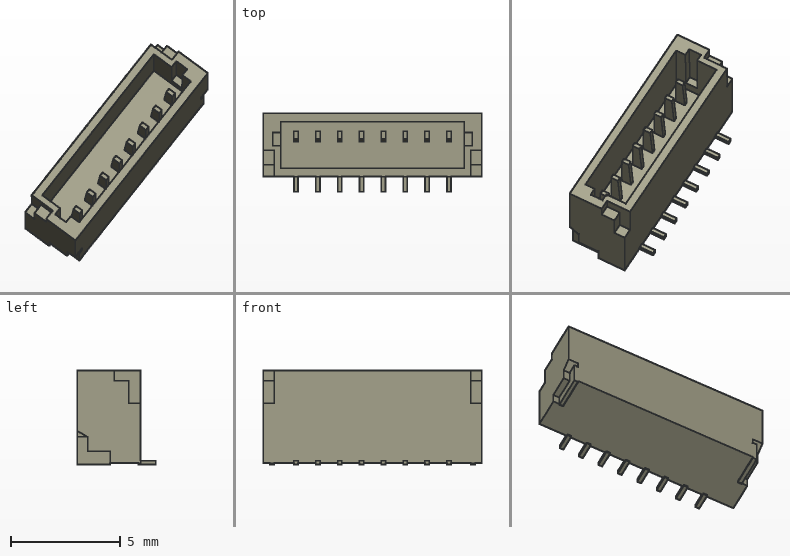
import cadquery as cq

LENGTH = 10.0
DEPTH = 2.9
TOP = 4.32
STANDOFF = 0.07

END_WALL = 0.79
SIDE_WALL = 0.39
CAVITY_FLOOR = 1.5

SLOT_REACH = 0.36
SLOT_FRONT = 1.41
SLOT_BACK = 2.03
SLOT_DRAFT = 0.03
SLOT_FLOOR = 2.0

CORNER_CUT = 0.5
NOTCH_LONG = 1.21
NOTCH_SHORT = 0.54
NOTCH_STEP_DROP = 0.48
NOTCH_DROP = 1.51
RECESS_LONG = 1.51
RECESS_SHORT = 0.48
RECESS_STEP = 0.61
RECESS_TOP = 1.27
RECESS_SLOPE_RISE = 0.28

TAB_INSET = 0.3

PIN_COUNT = 8
PITCH = 1.0
PIN_WIDTH = 0.2
PIN_FRONT = 1.6
PIN_BACK = 2.08
PIN_TOP = 3.08
PIN_TAPER = 0.12
LEAD_LENGTH = 0.7
LEAD_HEIGHT = 0.19
LEAD_EMBED = 0.1


def box(x_range, y_range, z_range):
    """Box spanning the given (low, high) ranges."""
    (x0, x1), (y0, y1), (z0, z1) = x_range, y_range, z_range
    return cq.Workplane("XY").box(x1 - x0, y1 - y0, z1 - z0, centered=False).translate((x0, y0, z0))


def plate(profile, x_start, thickness):
    """Closed (Y, Z) profile extruded along +X from x_start."""
    return cq.Workplane("YZ").polyline(profile).close().extrude(thickness).translate((x_start, 0, 0))


def both_ends(left):
    """The left-end shape together with its mirror image at the right end."""
    return left.add(left.mirror("YZ"))


def make_shell():
    """Block with the open cavity and its two keying slots."""
    half = LENGTH / 2
    cavity_half = half - END_WALL
    slot_half = cavity_half + SLOT_REACH
    block = box((-half, half), (0, DEPTH), (STANDOFF, TOP))
    cavity = box((-cavity_half, cavity_half), (SIDE_WALL, DEPTH - SIDE_WALL), (CAVITY_FLOOR, TOP))
    slot_profile = [
        (SLOT_FRONT, TOP),
        (SLOT_BACK, TOP),
        (SLOT_BACK - SLOT_DRAFT, SLOT_FLOOR),
        (SLOT_FRONT, SLOT_FLOOR),
    ]
    slots = plate(slot_profile, -slot_half, 2 * slot_half)
    return block.cut(cavity).cut(slots)


def make_notch():
    """Two-step cut at the front upper corner of the left end."""
    profile = [
        (0, TOP),
        (NOTCH_LONG, TOP),
        (NOTCH_LONG, TOP - NOTCH_STEP_DROP),
        (NOTCH_SHORT, TOP - NOTCH_STEP_DROP),
        (NOTCH_SHORT, TOP - NOTCH_DROP),
        (0, TOP - NOTCH_DROP),
    ]
    return plate(profile, -LENGTH / 2, CORNER_CUT)


def rear_profile(back_top):
    """L outline at the rear lower corner; back_top is its height at the rear wall."""
    return [
        (DEPTH, 0),
        (DEPTH - RECESS_LONG, 0),
        (DEPTH - RECESS_LONG, RECESS_STEP),
        (DEPTH - RECESS_SHORT, RECESS_STEP),
        (DEPTH - RECESS_SHORT, RECESS_TOP),
        (DEPTH, back_top),
    ]


def make_recess():
    """Rear recess of the left end, with a ceiling that rises towards the back."""
    return plate(rear_profile(RECESS_TOP + RECESS_SLOPE_RISE), -LENGTH / 2, CORNER_CUT)


def make_tab():
    """Flat-topped solder tab lying against the inner face of the left recess."""
    return plate(rear_profile(RECESS_TOP), -LENGTH / 2 + TAB_INSET, CORNER_CUT - TAB_INSET)


def make_contact(x_centre):
    """Pin with a leaning front face rising from the cavity floor and the lead leaving the front wall."""
    pin_profile = [
        (PIN_FRONT, CAVITY_FLOOR),
        (PIN_BACK, CAVITY_FLOOR),
        (PIN_BACK, PIN_TOP),
        (PIN_FRONT + PIN_TAPER, PIN_TOP),
    ]
    x_left = x_centre - PIN_WIDTH / 2
    pin = plate(pin_profile, x_left, PIN_WIDTH)
    lead = box((x_left, x_left + PIN_WIDTH), (-LEAD_LENGTH, LEAD_EMBED), (0, LEAD_HEIGHT))
    return pin.add(lead)


def make_header():
    """Shell with its corner cuts, solder tabs and row of contacts."""
    header = make_shell()
    header = header.cut(both_ends(make_notch()))
    header = header.cut(both_ends(make_recess()))
    header = header.union(both_ends(make_tab()))
    for index in range(PIN_COUNT):
        header = header.union(make_contact((index - (PIN_COUNT - 1) / 2) * PITCH))
    return header


result = make_header().solids()